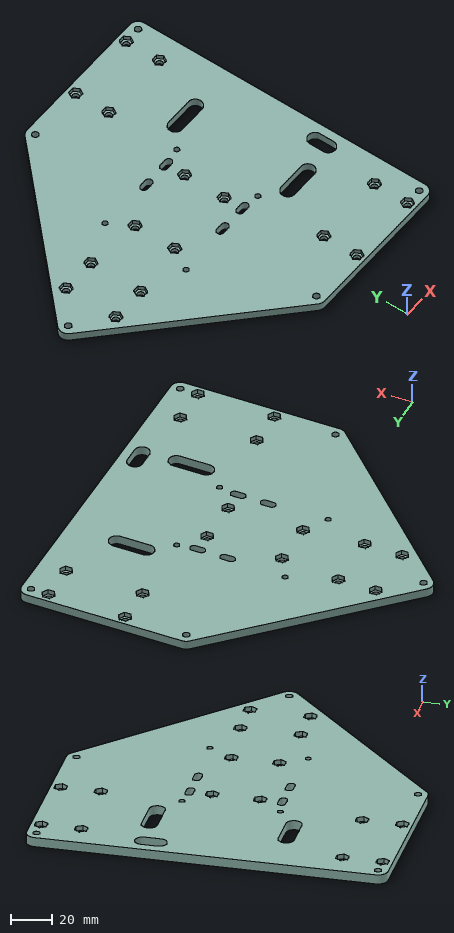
import cadquery as cq
import math

plate_size = 180.0
plate_thickness = 5.0
corner_radius = 5.0
shoulder_x = 2.0

corner_reach = plate_size / 2 - corner_radius
corner_centers = [
    (-corner_reach, 0),
    (shoulder_x, -corner_reach),
    (corner_reach, -corner_reach),
    (corner_reach, corner_reach),
    (shoulder_x, corner_reach),
]

screw_diameter = 3.6
board_hole_diameter = 2.9
board_center_x = 6.5
board_spacing_x = 58.0
board_spacing_y = 49.0

nut_sides = 6
nut_across_flats = 6.0
nut_across_corners = nut_across_flats / math.cos(math.pi / nut_sides)
nut_depth = 2.5

side_group_x = 55.0
side_spacing_x = 40.9
side_spacing_y = 20.0
nose_group_x = -56.5
nose_spacing_x = 20.0
nose_spacing_y = 30.0
middle_group_x = 5.0
middle_spacing_x = 40.0
middle_spacing_y = 24.0

strap_slot_length = 8.0
strap_slot_width = 4.0
strap_slot_group_x = 17.0
strap_slot_spacing_x = 16.0
strap_slot_spacing_y = 46.0
cable_slot_width = 8.0
long_slot_length = 24.0
long_slot_x = 55.0
long_slot_spacing_y = 68.0
short_slot_length = 16.0
short_slot_x = 81.0
short_slot_y = -29.0


def rectangle_points(center_x, spacing_x, spacing_y):
    """Corners of a rectangle that is symmetric about the X axis."""
    return [
        (center_x + side_x * spacing_x / 2, side_y * spacing_y / 2)
        for side_x in (-1, 1)
        for side_y in (-1, 1)
    ]


def through_holes(points, diameter):
    return cq.Workplane("XY").pushPoints(points).circle(diameter / 2).extrude(plate_thickness)


def through_slots(points, length, width, angle=0):
    return cq.Workplane("XY").pushPoints(points).slot2D(length, width, angle).extrude(plate_thickness)


def nut_recesses(points):
    """Hexagons with two corners along X, open at the top face."""
    top_plane = cq.Workplane("XY").workplane(offset=plate_thickness)
    return top_plane.pushPoints(points).polygon(nut_sides, nut_across_corners).extrude(-nut_depth)


nut_points = (
    rectangle_points(side_group_x, side_spacing_x, 2 * corner_reach)
    + rectangle_points(side_group_x, side_spacing_x, 2 * (corner_reach - side_spacing_y))
    + rectangle_points(nose_group_x, nose_spacing_x, nose_spacing_y)
    + rectangle_points(middle_group_x, middle_spacing_x, middle_spacing_y)
)
board_points = rectangle_points(board_center_x, board_spacing_x, board_spacing_y)
strap_points = rectangle_points(strap_slot_group_x, strap_slot_spacing_x, strap_slot_spacing_y)
long_slot_points = [(long_slot_x, side * long_slot_spacing_y / 2) for side in (-1, 1)]

plate = cq.Workplane("XY").polyline(corner_centers).close().offset2D(corner_radius).extrude(plate_thickness)

result = (
    plate.cut(through_holes(corner_centers + nut_points, screw_diameter))
    .cut(nut_recesses(nut_points))
    .cut(through_holes(board_points, board_hole_diameter))
    .cut(through_slots(strap_points, strap_slot_length, strap_slot_width))
    .cut(through_slots(long_slot_points, long_slot_length, cable_slot_width))
    .cut(through_slots([(short_slot_x, short_slot_y)], short_slot_length, cable_slot_width, angle=90))
)